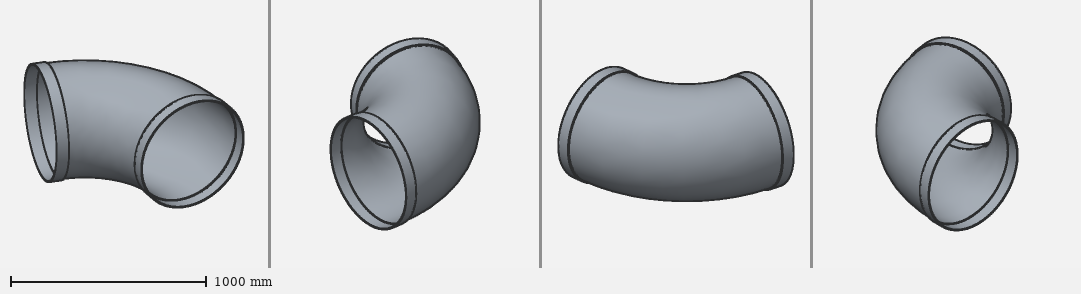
import cadquery as cq
import math

bend_angle = 75.0
bend_radius = 600.0
pipe_diameter = 600.0
collar_diameter = 612.0
overall_length = 958.0
pipe_wall = 6.0
collar_bore = 599.0

pipe_bore = pipe_diameter - 2 * pipe_wall

angle = math.radians(bend_angle)
outlet_x = bend_radius * (1 - math.cos(angle))
outlet_y = bend_radius * math.sin(angle)

outlet_rim_rise = collar_diameter / 2 * math.sin(angle)
collar_length = (overall_length - outlet_y - outlet_rim_rise) / (1 + math.cos(angle))

inlet_plane = cq.Plane(origin=(0, 0, 0), xDir=(1, 0, 0), normal=(0, 1, 0))
outlet_plane = cq.Plane(
    origin=(outlet_x, outlet_y, 0),
    xDir=(0, 0, 1),
    normal=(math.sin(angle), math.cos(angle), 0),
)


def make_bend():
    """Curved pipe: an annulus revolved about the bend centre."""
    section = (
        cq.Workplane(inlet_plane)
        .circle(pipe_diameter / 2)
        .circle(pipe_bore / 2)
    )
    return section.revolve(bend_angle, (bend_radius, 0), (bend_radius, 1))


def make_collar(plane, length):
    """Socket ring at one end of the bend; the length is signed along the plane normal."""
    return (
        cq.Workplane(plane)
        .circle(collar_diameter / 2)
        .circle(collar_bore / 2)
        .extrude(length)
    )


inlet_collar = make_collar(inlet_plane, -collar_length)
outlet_collar = make_collar(outlet_plane, collar_length)
result = make_bend().union(inlet_collar).union(outlet_collar)